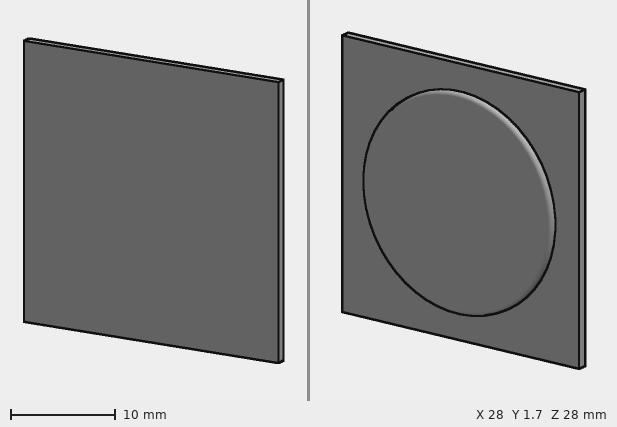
import cadquery as cq

plate_side = 28.0
total_depth = 1.7
plate_thickness = 1.0
pad_diameter = 22.4
pad_edge_radius = 0.42
pad_height = total_depth - plate_thickness


def make_plate():
    """Square plate with its plain face at Y = 0."""
    return cq.Workplane("XY").box(
        plate_side, plate_thickness, plate_side, centered=(True, False, True)
    )


def make_pad():
    """Round pad on the back of the plate, with its outer rim rounded over."""
    return (
        cq.Workplane("XZ", origin=(0, plate_thickness, 0))
        .circle(pad_diameter / 2)
        .extrude(-pad_height)
        .faces(">Y")
        .edges()
        .fillet(pad_edge_radius)
    )


result = make_plate().union(make_pad())